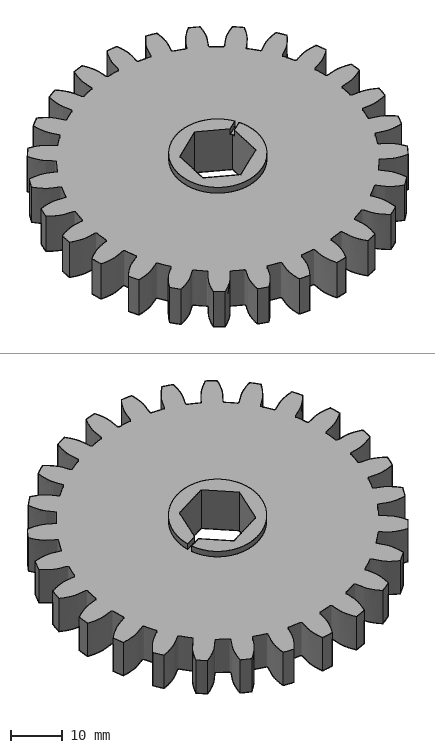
import cadquery as cq
import math

tooth_count = 27
tip_diameter = 73.6
module = tip_diameter / (tooth_count + 2)
pressure_angle = math.radians(14.5)
root_radius = 31.15
root_fillet = 0.3

tip_radius = tip_diameter / 2
pitch_radius = module * tooth_count / 2
base_radius = pitch_radius * math.cos(pressure_angle)

total_height = 11.05
hub_height = 1.55
gear_thickness = total_height - hub_height
hub_radius = 9.5
hex_across_flats = 12.8
hex_across_corners = hex_across_flats / math.cos(math.pi / 6)
slot_width = 0.9

flank_points = 6


def involute(angle):
    return math.tan(angle) - angle


def flank_half_angle(radius):
    """Half the angle a tooth spans at a radius between the base and tip circles."""
    half_angle_at_pitch = math.pi / (2 * tooth_count)
    local_pressure_angle = math.acos(min(1.0, base_radius / radius))
    return half_angle_at_pitch + involute(pressure_angle) - involute(local_pressure_angle)


def upper_flank():
    """Points of the involute flank of a tooth centred on +X, from base to tip circle."""
    points = []
    for i in range(flank_points):
        radius = base_radius + (tip_radius - base_radius) * i / (flank_points - 1)
        angle = flank_half_angle(radius)
        points.append((radius * math.cos(angle), radius * math.sin(angle)))
    return points


def make_tooth():
    """One tooth centred on +X, with parallel sides below the base circle."""
    upper = upper_flank()
    lower = [(x, -y) for x, y in upper]
    base_half_width = upper[0][1]
    foot_x = root_radius - module
    return (
        cq.Workplane("XY")
        .moveTo(foot_x, -base_half_width)
        .lineTo(*lower[0])
        .spline(lower[1:], includeCurrent=True)
        .threePointArc((tip_radius, 0), upper[-1])
        .spline(upper[-2::-1], includeCurrent=True)
        .lineTo(foot_x, base_half_width)
        .close()
        .extrude(gear_thickness)
    )


def is_root_corner(edge):
    """True for the upright edges where the tooth sides meet the root cylinder."""
    center = edge.Center()
    return math.hypot(center.x, center.y) < root_radius + root_fillet


def make_gear():
    gear = cq.Workplane("XY").circle(root_radius).extrude(gear_thickness)
    tooth = make_tooth()
    for i in range(tooth_count):
        gear = gear.union(tooth.rotate((0, 0, 0), (0, 0, 1), i * 360 / tooth_count))
    return gear.edges("|Z").filter(is_root_corner).fillet(root_fillet)


def make_hub():
    """Raised ring on the top face, split by a slot on its +Y side."""
    hub = cq.Workplane("XY").workplane(offset=gear_thickness).circle(hub_radius).extrude(hub_height)
    slot = (
        cq.Workplane("XY")
        .workplane(offset=gear_thickness)
        .center(0, hub_radius / 2)
        .rect(slot_width, hub_radius)
        .extrude(hub_height)
    )
    return hub.cut(slot)


def make_hex_bore():
    """Hexagonal through bore with corners on the Y axis."""
    return (
        cq.Workplane("XY")
        .polygon(6, hex_across_corners)
        .extrude(total_height)
        .rotate((0, 0, 0), (0, 0, 1), 90)
    )


result = make_gear().union(make_hub()).cut(make_hex_bore())